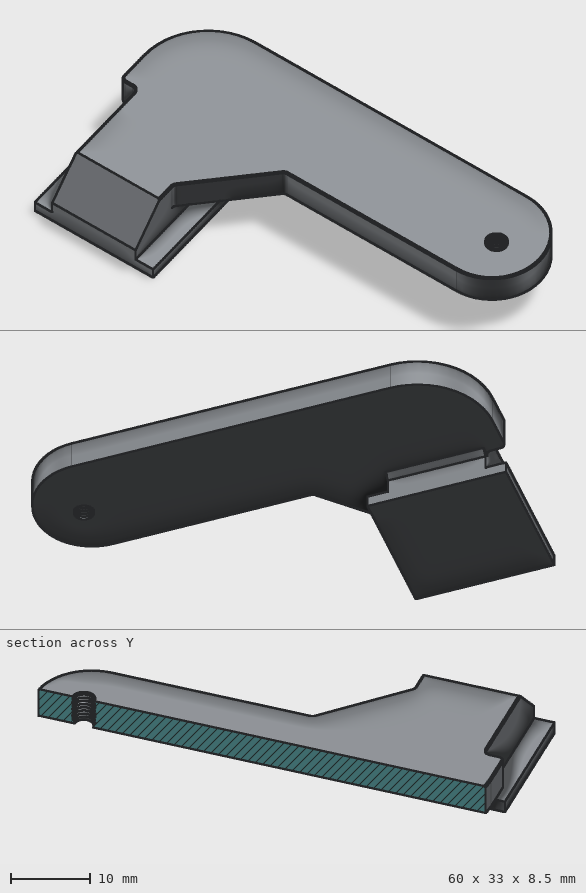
import cadquery as cq

length = 60.0
depth = 33.0
height = 8.5

arm_width = 15.0
arm_bottom = 4.3
arm_end_radius = arm_width / 2
heel_radius = 10.0
corner_radius = 0.8
top_chamfer = 0.2

foot_width = 18.5
foot_length = depth - arm_width
foot_thickness = 1.6
stem_width = 13.0
stem_left = (foot_width - stem_width) / 2
stem_right = stem_left + stem_width
nose_slope = 5.1
back_slope = 0.8
brace_start = 8.05

hole_diameter = 2.5
hole_x = 53.9
hole_y = 24.6
thread_diameter = 3.05
thread_pitch = 0.5
thread_count = 7
groove_share = 0.9


def arm_plate():
    """L-shaped plate with a diagonal brace in the inner corner and rounded ends."""
    brace_end = stem_right + foot_length - brace_start
    outline = [
        (stem_left, 0),
        (stem_right, 0),
        (stem_right, brace_start),
        (brace_end, foot_length),
        (length, foot_length),
        (length, depth),
        (0, depth),
        (0, foot_length),
        (stem_left, foot_length),
    ]
    plate = (
        cq.Workplane("XY")
        .workplane(offset=arm_bottom)
        .polyline(outline)
        .close()
        .extrude(height - arm_bottom)
    )
    arm_axis = foot_length + arm_width / 2
    end_start = length - arm_end_radius
    end_block = cq.Workplane("XY").box(
        arm_end_radius, arm_width, height, centered=False
    ).translate((end_start, foot_length, 0))
    end_disc = cq.Workplane("XY").center(end_start, arm_axis).circle(arm_end_radius).extrude(height)
    plate = plate.cut(end_block.cut(end_disc))

    def fillet_corner(body, x, y, radius):
        middle = (height + arm_bottom) / 2
        corner = cq.selectors.NearestToPointSelector((x, y, middle))
        return body.edges("|Z").edges(corner).fillet(radius)

    plate = fillet_corner(plate, 0, depth, heel_radius)
    small_corners = [
        (0, foot_length),
        (stem_left, foot_length),
        (stem_right, brace_start),
        (brace_end, foot_length),
    ]
    for x, y in small_corners:
        plate = fillet_corner(plate, x, y, corner_radius)

    hole = (
        cq.Workplane("XY")
        .center(hole_x, hole_y)
        .circle(hole_diameter / 2)
        .extrude(height)
    )
    return plate.cut(hole).faces(">Z").edges().chamfer(top_chamfer)


def thread_groove(z):
    """V-shaped ring, with its sharp edge at height z, cut into the wall of the screw hole."""
    half_width = thread_pitch * groove_share / 2
    profile = [
        (0, z - half_width),
        (hole_diameter / 2, z - half_width),
        (thread_diameter / 2, z),
        (hole_diameter / 2, z + half_width),
        (0, z + half_width),
    ]
    ring = cq.Workplane("XZ").polyline(profile).close().revolve(360, (0, 0, 0), (0, 1, 0))
    return ring.translate((hole_x, hole_y, 0))


def stem():
    """Block between foot and arm, flared out to the back just under the arm."""
    profile = [
        (0, 0),
        (foot_length, 0),
        (foot_length, arm_bottom - back_slope),
        (foot_length + back_slope, arm_bottom),
        (0, arm_bottom),
    ]
    return (
        cq.Workplane("YZ")
        .workplane(offset=stem_left)
        .polyline(profile)
        .close()
        .extrude(stem_width)
    )


def nose_cutter():
    """Wedge that slopes the front of the arm and stem at 45 degrees."""
    return (
        cq.Workplane("YZ")
        .polyline([(0, height), (nose_slope, height), (0, height - nose_slope)])
        .close()
        .extrude(foot_width)
    )


foot = cq.Workplane("XY").box(foot_width, foot_length, foot_thickness, centered=False)

result = arm_plate().union(stem()).cut(nose_cutter()).union(foot)

for turn in range(1, thread_count + 1):
    result = result.cut(thread_groove(height - turn * thread_pitch))